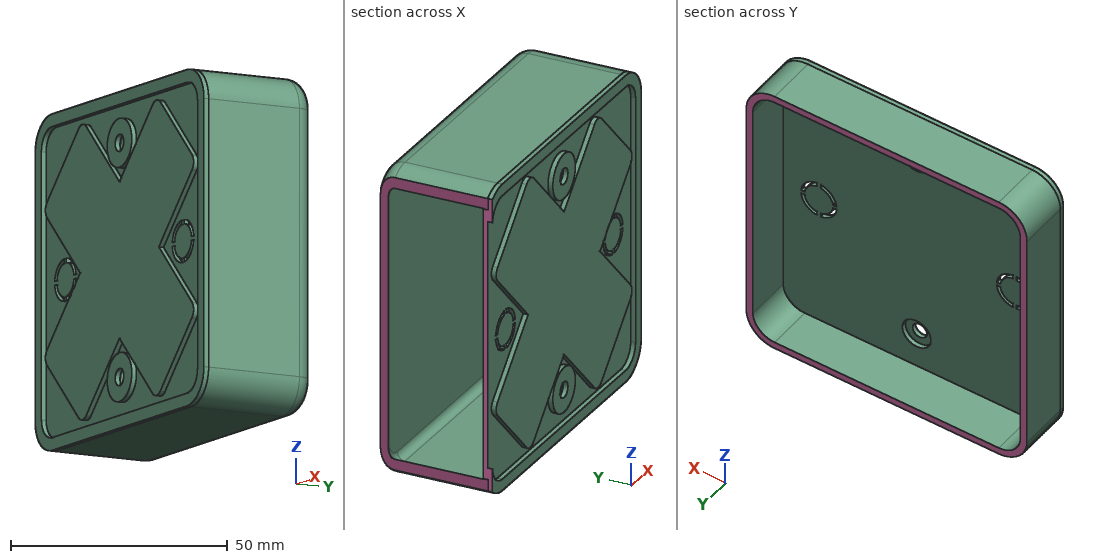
import cadquery as cq
side = 79.0
depth = 29.25
corner_radius = 8.0
back_fillet = 4.0

wall = 2.0
cavity_side = side - 2 * wall
cavity_corner_radius = corner_radius - wall
cavity_fillet = back_fillet - wall

rim_thickness = 1.25
rim_width = 3.0
floor_y = rim_thickness
floor_thickness = 1.25

raised_height = rim_thickness
cross_arm_width = 26.0
cross_length = 75.0
cross_corner_radius = 2.5
cross_angles = (45, -45)

feature_offset = 27.5
screw_centres = [(0, -feature_offset), (0, feature_offset)]
knockout_centres = [(-feature_offset, 0), (feature_offset, 0)]
boss_diameter = 11.5
screw_hole_diameter = 4.0
screw_recess_diameter = 8.0
knockout_outer_diameter = 10.0
knockout_inner_diameter = 8.0
knockout_bridge_width = 1.0


def front_plane(y):
    """Sketch plane facing -Y at the given Y; a negative extrusion goes toward +Y."""
    return cq.Workplane("XZ", origin=(0, y, 0))


def rounded_square(size, radius, y, length):
    """Square prism with rounded corners that starts at y and runs toward +Y."""
    return front_plane(y).rect(size, size).extrude(-length).edges("|Y").fillet(radius)


def make_rim():
    """Square frame of constant width."""
    opening_side = side - 2 * rim_width
    opening_radius = corner_radius - rim_width
    frame = rounded_square(side, corner_radius, 0, rim_thickness)
    opening = rounded_square(opening_side, opening_radius, 0, rim_thickness)
    return frame.cut(opening)


def make_cross_arm(angle):
    """Full-length bar with rounded ends, turned about the Y axis."""
    bar = front_plane(floor_y).rect(cross_length, cross_arm_width).extrude(raised_height)
    bar = bar.edges("|Y").fillet(cross_corner_radius)
    return bar.rotate((0, 0, 0), (0, 1, 0), angle)


def make_screw_bosses():
    """Two discs standing on the floor plate."""
    discs = front_plane(floor_y).pushPoints(screw_centres).circle(boss_diameter / 2)
    return discs.extrude(raised_height)


def make_screw_holes():
    """Holes through the bosses, widened to screw head recesses in the floor plate."""
    holes = front_plane(0).pushPoints(screw_centres).circle(screw_hole_diameter / 2)
    recesses = front_plane(floor_y).pushPoints(screw_centres).circle(screw_recess_diameter / 2)
    return holes.extrude(-raised_height).union(recesses.extrude(-floor_thickness))


def make_knockout_slots():
    """Two rings cut through the floor plate, each broken into four arcs by narrow bridges."""
    sketch = front_plane(floor_y).pushPoints(knockout_centres)
    rings = (
        sketch.circle(knockout_outer_diameter / 2)
        .circle(knockout_inner_diameter / 2)
        .extrude(-floor_thickness)
    )
    level_bridges = sketch.rect(knockout_outer_diameter, knockout_bridge_width).extrude(-floor_thickness)
    upright_bridges = sketch.rect(knockout_bridge_width, knockout_outer_diameter).extrude(-floor_thickness)
    return rings.cut(level_bridges).cut(upright_bridges)


def make_base():
    """Rim and floor plate with the raised cross, screw bosses and knockouts."""
    body = rounded_square(cavity_side, cavity_corner_radius, floor_y, floor_thickness)
    body = body.union(make_rim())
    for angle in cross_angles:
        body = body.union(make_cross_arm(angle))
    body = body.union(make_screw_bosses())
    return body.cut(make_screw_holes()).cut(make_knockout_slots())


def make_cover():
    """Shell open at the front, rounded along the back edge inside and out."""
    outside = rounded_square(side, corner_radius, rim_thickness, depth - rim_thickness)
    outside = outside.faces(">Y").edges().fillet(back_fillet)
    cavity_depth = depth - rim_thickness - wall
    cavity = rounded_square(cavity_side, cavity_corner_radius, rim_thickness, cavity_depth)
    cavity = cavity.faces(">Y").edges().fillet(cavity_fillet)
    return outside.cut(cavity)


base = make_base()
cover = make_cover()
result = cq.Compound.makeCompound([base.val(), cover.val()])